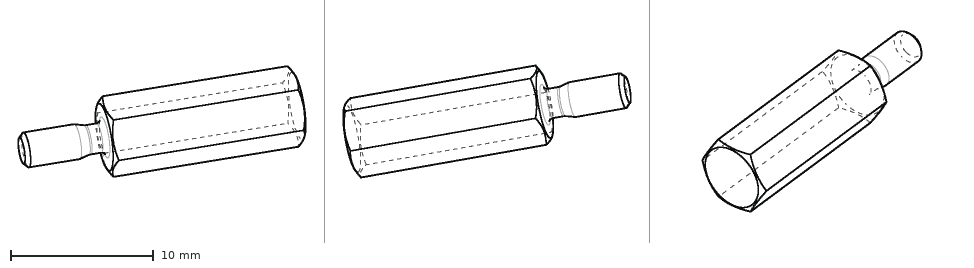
import cadquery as cq
import math

total_length = 20.0
stud_length = 6.0
hex_across_flats = 5.0
hex_end_face_diameter = 4.78
hex_chamfer_angle = math.radians(30)
thread_diameter = 2.5
neck_diameter = 2.1
root_fillet_radius = 0.4
thread_start = 2.0
runout_angle = math.radians(15)
runout_blend_radius = 0.5
tip_chamfer = 0.32
envelope_clearance = 0.2

body_length = total_length - stud_length
tip_y = -total_length / 2
shoulder_y = tip_y + stud_length
body_end_y = total_length / 2


def revolve_about_y(profile):
    return profile.close().revolve(360, (0, 0, 0), (0, 1, 0))


def make_hex_body():
    corner_diameter = hex_across_flats / math.cos(math.pi / 6)
    prism = (
        cq.Workplane("XZ", origin=(0, body_end_y, 0))
        .polygon(6, corner_diameter)
        .extrude(body_length)
    )
    corner_radius = corner_diameter / 2
    face_radius = hex_end_face_diameter / 2
    envelope_radius = corner_radius + envelope_clearance
    chamfer_depth = (envelope_radius - face_radius) * math.tan(hex_chamfer_angle)
    envelope = revolve_about_y(
        cq.Workplane("XY")
        .moveTo(0, shoulder_y)
        .lineTo(face_radius, shoulder_y)
        .lineTo(envelope_radius, shoulder_y + chamfer_depth)
        .lineTo(envelope_radius, body_end_y - chamfer_depth)
        .lineTo(face_radius, body_end_y)
        .lineTo(0, body_end_y)
    )
    return prism.intersect(envelope)


def make_stud():
    thread_radius = thread_diameter / 2
    neck_radius = neck_diameter / 2
    thread_start_y = shoulder_y - thread_start

    runout_length = (thread_radius - neck_radius) / math.tan(runout_angle)
    neck_corner_y = thread_start_y + runout_length
    tangent_length = runout_blend_radius * math.tan(runout_angle / 2)
    blend_start_y = neck_corner_y + tangent_length

    def blend_point(angle):
        return (
            neck_radius + runout_blend_radius * (1 - math.cos(angle)),
            blend_start_y - runout_blend_radius * math.sin(angle),
        )

    fillet_center_x = neck_radius + root_fillet_radius
    fillet_center_y = shoulder_y - root_fillet_radius
    fillet_offset = root_fillet_radius * math.sqrt(0.5)
    fillet_middle = (fillet_center_x - fillet_offset, fillet_center_y + fillet_offset)

    return revolve_about_y(
        cq.Workplane("XY")
        .moveTo(0, shoulder_y)
        .lineTo(fillet_center_x, shoulder_y)
        .threePointArc(fillet_middle, (neck_radius, fillet_center_y))
        .lineTo(neck_radius, blend_start_y)
        .threePointArc(blend_point(runout_angle / 2), blend_point(runout_angle))
        .lineTo(thread_radius, thread_start_y)
        .lineTo(thread_radius, tip_y + tip_chamfer)
        .lineTo(thread_radius - tip_chamfer, tip_y)
        .lineTo(0, tip_y)
    )


result = make_hex_body().union(make_stud())